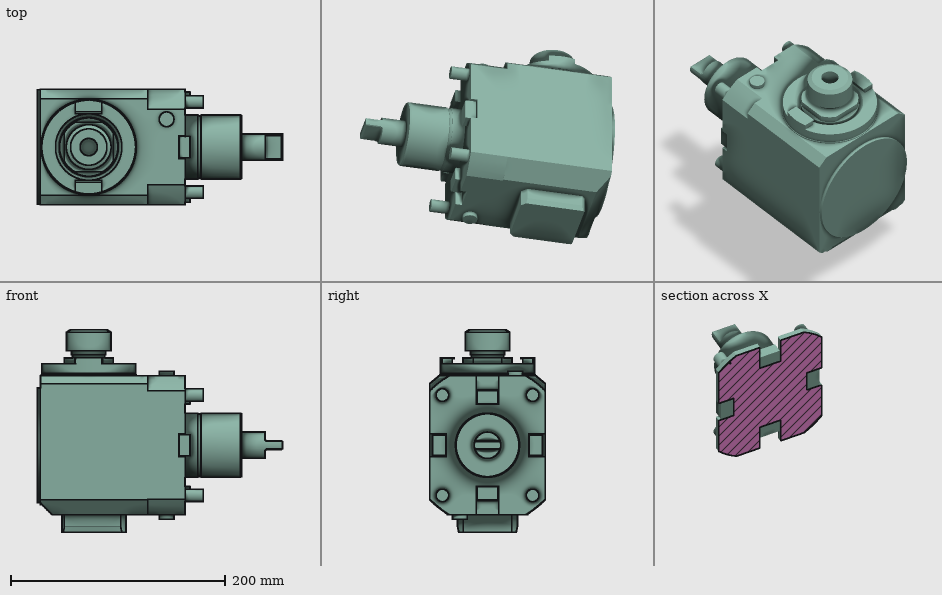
import cadquery as cq
import math


total_length = 229.05
total_height = 189.06

body_length = 135.0
body_half_width = 54.0
body_half_height = 65.0
bevel_angle = math.radians(40)
top_bevel_width = 9.0
bottom_bevel_width = 17.0
rear_bevel = 11.0
round_length = 35.0
round_radius = 74.0

cover_radius = 53.5
cover_thickness = 3.0

shank_radius = 30.0
shank_length = 52.6
shank_chamfer_length = 1.4
shank_chamfer_depth = 0.7
groove_start = 11.9
groove_end = 15.1
groove_start_depth = 0.4
groove_end_depth = 1.0
groove_wall_run = 0.6
drive_radius = 12.35
drive_end = 74.6
tang_end = total_length - body_length - cover_thickness
tang_thickness = 8.0
tang_flat_half_width = 10.7
tang_fillet = 1.7
tang_bevel_run = 1.3
tang_bevel_height = 0.7

screw_radius = 5.9
screw_length = 16.9
screw_y = 42.1
screw_z = 46.8
plug_radius = 8.6
plug_depth = 10.0
key_width = 20.0
key_clearance = 0.7
key_inner = 38.3
key_outer = 51.6
key_front = 4.9
key_back = -5.5
key_chamfer = 0.6

pin_radius = 6.9
pin_x = -17.3
pin_y = 25.9
pin_height = 4.2

tool_x = -90.0
ring_radius = 44.0
ring_top = 76.1
ring_foot_radius = 44.5
ring_foot_height = 0.9
ring_groove_radius = 43.5
ring_groove_top = 67.1
ring_bore_top_radius = 31.0
ring_bore_radius = 27.7
ring_bore_depth = ring_bore_top_radius - ring_bore_radius
ring_bore_floor = 70.0
lug_width = 24.8
lug_inner = 32.8
lug_lip_inner = 31.2
lug_lip_thickness = 0.8
lug_top = 81.6
nut_width = 46.0
nut_corner_radius = 26.5
nut_bottom = 75.5
flange_radius = 27.2
neck_radius = 15.2
neck_top = 84.5
collar_radius = 16.1
collar_top = 88.0
head_radius = 20.9
head_top = 107.75
head_top_radius = 17.0
head_chamfer_height = 2.4
head_bore_radius = 8.1
head_bore_depth = 20.0

foot_x_min = -115.0
foot_x_max = -55.0
foot_half_width = 28.0
foot_bottom = head_top - total_height
foot_rear_chamfer = 2.4
foot_front_chamfer = 5.2
foot_taper_height = 5.5
foot_taper_depth = 1.1


def x_cylinder(radius, x_start, x_end, y=0.0, z=0.0):
    plane = cq.Workplane("YZ", origin=(x_start, y, z))
    return plane.circle(radius).extrude(x_end - x_start)


def z_cylinder(radius, z_start, z_end, x=tool_x, y=0.0):
    plane = cq.Workplane("XY", origin=(x, y, z_start))
    return plane.circle(radius).extrude(z_end - z_start)


def box(x_range, y_range, z_range):
    lows, highs = zip(x_range, y_range, z_range)
    sizes = [high - low for low, high in zip(lows, highs)]
    return cq.Workplane("XY").box(*sizes, centered=False).translate(lows)


def make_housing():
    top_drop = top_bevel_width * math.tan(bevel_angle)
    bottom_rise = bottom_bevel_width * math.tan(bevel_angle)
    half_section = [
        (body_half_width - bottom_bevel_width, -body_half_height),
        (body_half_width, bottom_rise - body_half_height),
        (body_half_width, body_half_height - top_drop),
        (body_half_width - top_bevel_width, body_half_height),
    ]
    mirrored = [(-y, z) for y, z in reversed(half_section)]
    rear = (
        cq.Workplane("YZ", origin=(-body_length, 0, 0))
        .polyline(half_section + mirrored).close()
        .extrude(body_length - round_length)
        .faces("<X").edges("<Z").chamfer(rear_bevel)
    )
    front = (
        cq.Workplane("YZ", origin=(-round_length, 0, 0))
        .rect(2 * body_half_width, 2 * body_half_height)
        .extrude(round_length)
        .intersect(x_cylinder(round_radius, -round_length, 0))
    )
    return rear.union(front)


def make_cover():
    return x_cylinder(cover_radius, -body_length - cover_thickness, -body_length)


def make_shank():
    chamfer_start = shank_length - shank_chamfer_length
    half_profile = [
        (0, 0),
        (0, shank_radius),
        (groove_start, shank_radius),
        (groove_start, shank_radius - groove_start_depth),
        (groove_end - groove_wall_run, shank_radius - groove_end_depth),
        (groove_end, shank_radius),
        (chamfer_start, shank_radius),
        (shank_length, shank_radius - shank_chamfer_depth),
        (shank_length, 0),
    ]
    shank = cq.Workplane("XZ").polyline(half_profile).close().revolve(360, (0, 0, 0), (1, 0, 0))
    return shank.union(make_drive())


def make_drive():
    half_tang = tang_thickness / 2
    bevel_start = tang_end - tang_bevel_run
    tip_half_tang = half_tang - tang_bevel_height
    profile = (
        cq.Workplane("XZ", origin=(0, drive_radius, 0))
        .moveTo(shank_length, -drive_radius)
        .lineTo(drive_end, -drive_radius)
        .lineTo(drive_end, -half_tang - tang_fillet)
        .radiusArc((drive_end + tang_fillet, -half_tang), tang_fillet)
        .lineTo(bevel_start, -half_tang)
        .lineTo(tang_end, -tip_half_tang)
        .lineTo(tang_end, tip_half_tang)
        .lineTo(bevel_start, half_tang)
        .lineTo(drive_end + tang_fillet, half_tang)
        .radiusArc((drive_end, half_tang + tang_fillet), tang_fillet)
        .lineTo(drive_end, drive_radius)
        .lineTo(shank_length, drive_radius)
        .close()
        .extrude(2 * drive_radius)
    )
    drive = profile.intersect(x_cylinder(drive_radius, shank_length, tang_end))
    for side in (-1, 1):
        for face in (-1, 1):
            bevel = [
                (side * drive_radius, face * tip_half_tang),
                (side * drive_radius, face * half_tang),
                (side * tang_flat_half_width, face * half_tang),
            ]
            wedge = cq.Workplane("YZ", origin=(drive_end + tang_fillet, 0, 0)).polyline(bevel).close()
            drive = drive.cut(wedge.extrude(tang_end - drive_end - tang_fillet))
    return drive


def make_screws():
    screws = cq.Workplane("YZ").rect(2 * screw_y, 2 * screw_z, forConstruction=True).vertices()
    return screws.circle(screw_radius).extrude(screw_length)


def make_rear_plugs():
    plug_end = plug_depth - body_length
    left_plug = x_cylinder(plug_radius, -body_length, plug_end, screw_y, -screw_z)
    right_plug = x_cylinder(plug_radius, -body_length, plug_end, -screw_y, -screw_z)
    return left_plug.union(right_plug)


def cut_key_slots_and_add_keys(body):
    half_key = key_width / 2
    half_slot = half_key + key_clearance
    slot = box((key_back - key_clearance, 0), (-half_slot, half_slot), (key_inner, body_half_height))
    key = box((key_back, key_front), (-half_key, half_key), (key_inner, key_outer))
    key = key.faces(">X").edges().chamfer(key_chamfer)
    for angle in (0, 90, 180, 270):
        body = body.cut(slot.rotate((0, 0, 0), (1, 0, 0), angle))
        body = body.union(key.rotate((0, 0, 0), (1, 0, 0), angle))
    return body


def make_pins():
    tip = body_half_height + pin_height
    top_pin = z_cylinder(pin_radius, key_outer, tip, pin_x, pin_y)
    bottom_pin = z_cylinder(pin_radius, -tip, -key_outer, pin_x, -pin_y)
    return top_pin.union(bottom_pin)


def make_ring():
    ring = z_cylinder(ring_foot_radius, body_half_height, body_half_height + ring_foot_height)
    ring = ring.union(z_cylinder(ring_groove_radius, body_half_height, ring_groove_top))
    ring = ring.union(z_cylinder(ring_radius, ring_groove_top, ring_top))
    half_lug = lug_width / 2
    lug_x = (tool_x - half_lug, tool_x + half_lug)
    lip_bottom = lug_top - lug_lip_thickness
    lug_blank = box(lug_x, (-ring_radius, ring_radius), (ring_top, lug_top))
    lugs = (
        z_cylinder(ring_radius, ring_top, lug_top)
        .intersect(lug_blank)
        .cut(box(lug_x, (-lug_inner, lug_inner), (ring_top, lip_bottom)))
        .cut(box(lug_x, (-lug_lip_inner, lug_lip_inner), (lip_bottom, lug_top)))
    )
    bore = z_cylinder(ring_bore_radius, ring_bore_floor, ring_top)
    bore_bevel = (
        cq.Workplane("XY", origin=(tool_x, 0, ring_top))
        .circle(ring_bore_top_radius)
        .workplane(offset=-ring_bore_depth)
        .circle(ring_bore_radius)
        .loft()
    )
    return ring.cut(bore).cut(bore_bevel).union(lugs)


def make_tool_spindle():
    half_nut = nut_width / 2
    square = box(
        (tool_x - half_nut, tool_x + half_nut), (-half_nut, half_nut), (nut_bottom, lug_top)
    )
    nut = square.intersect(z_cylinder(nut_corner_radius, nut_bottom, lug_top))
    flange = z_cylinder(flange_radius, ring_bore_floor, nut_bottom)
    neck = z_cylinder(neck_radius, lug_top, neck_top)
    collar = z_cylinder(collar_radius, neck_top, collar_top)
    head = z_cylinder(head_radius, collar_top, head_top)
    head = head.faces(">Z").chamfer(head_chamfer_height, head_radius - head_top_radius)
    bore = z_cylinder(head_bore_radius, head_top - head_bore_depth, head_top)
    return flange.union(nut).union(neck).union(collar).union(head).cut(bore)


def make_foot():
    taper_top = foot_bottom + foot_taper_height
    toe_half_width = foot_half_width - foot_taper_depth
    half_section = [
        (toe_half_width, foot_bottom),
        (foot_half_width, taper_top),
        (foot_half_width, -body_half_height),
    ]
    mirrored = [(-y, z) for y, z in reversed(half_section)]
    tapered = (
        cq.Workplane("YZ", origin=(foot_x_min, 0, 0))
        .polyline(half_section + mirrored).close()
        .extrude(foot_x_max - foot_x_min)
    )
    outline = (
        box((foot_x_min, foot_x_max), (-foot_half_width, foot_half_width), (foot_bottom, -body_half_height))
        .edges("|Z and <X").chamfer(foot_rear_chamfer)
        .edges("|Z and >X").chamfer(foot_front_chamfer)
    )
    return tapered.intersect(outline)


result = cut_key_slots_and_add_keys(make_housing())
for feature in (
    make_cover(),
    make_shank(),
    make_screws(),
    make_rear_plugs(),
    make_pins(),
    make_ring(),
    make_tool_spindle(),
    make_foot(),
):
    result = result.union(feature)